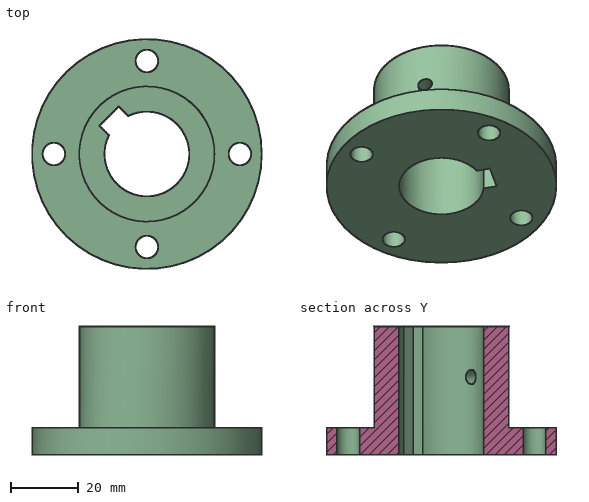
import cadquery as cq
import math

flange_diameter = 68.0
flange_thickness = 8.0

hub_diameter = 40.0
total_height = 38.0
bore_diameter = 25.0

bolt_hole_diameter = 6.6
bolt_circle_diameter = 55.0
bolt_hole_count = 4

keyway_width = 8.0
keyway_depth = 3.3
keyway_angle = 135.0

set_screw_diameter = 4.23
set_screw_angle = 45.0
set_screw_below_top = 15.0


def make_body():
    """Round flange with a coaxial hub standing on it."""
    flange = cq.Workplane("XY").circle(flange_diameter / 2).extrude(flange_thickness)
    hub = cq.Workplane("XY").circle(hub_diameter / 2).extrude(total_height)
    return flange.union(hub)


def make_bore():
    return cq.Workplane("XY").circle(bore_diameter / 2).extrude(total_height)


def make_keyway():
    """Full-height slot from the axis outward at the keyway angle."""
    reach = bore_diameter / 2 + keyway_depth
    slot = cq.Workplane("XY").box(reach, keyway_width, total_height, centered=(False, True, False))
    return slot.rotate((0, 0, 0), (0, 0, 1), keyway_angle)


def make_bolt_holes():
    return (
        cq.Workplane("XY")
        .polarArray(bolt_circle_diameter / 2, 0, 360, bolt_hole_count)
        .circle(bolt_hole_diameter / 2)
        .extrude(flange_thickness)
    )


def make_set_screw_hole():
    """Radial cylinder from the axis out to the hub surface."""
    angle = math.radians(set_screw_angle)
    start = cq.Vector(0, 0, total_height - set_screw_below_top)
    direction = cq.Vector(math.cos(angle), math.sin(angle), 0)
    hole = cq.Solid.makeCylinder(set_screw_diameter / 2, hub_diameter / 2, start, direction)
    return cq.Workplane("XY").add(hole)


result = (
    make_body()
    .cut(make_bore())
    .cut(make_keyway())
    .cut(make_bolt_holes())
    .cut(make_set_screw_hole())
)